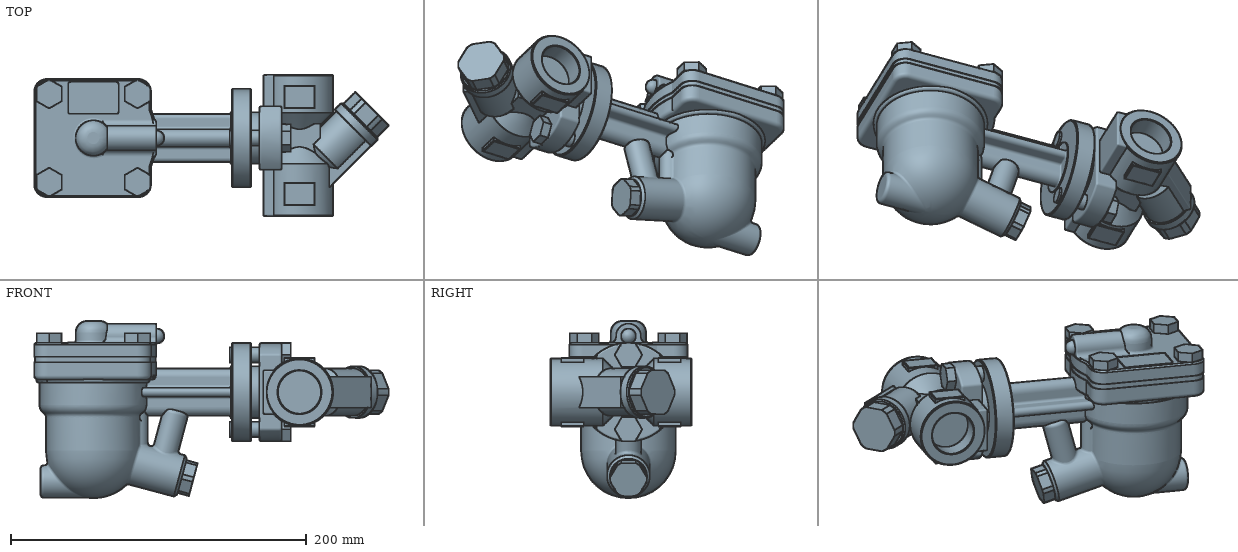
import cadquery as cq
import math


flange_min_x = -40.0
flange_max_x = 39.0
flange_half_y = 40.0
flange_corner_radius = 9.0
flange_bottom = 8.5
lid_joint = 22.0
lid_top = 33.4
joint_step = 0.5
joint_band_below = 2.0
joint_band_above = 1.7
lid_edge_chamfer = 1.2
flange_edge_fillet = 3.0
bulge_half_width = 19.2
bulge_reach = 42.7

lid_bolt_pitch = 59.8
lid_bolt_flats = 17.0
lid_bolt_height = 6.5

plate_length = 34.0
plate_width = 21.5
plate_center_y = 27.0
plate_corner_radius = 1.5
plate_height = 0.5

dome_radius = 12.0
dome_top = 48.2
dome_rounding = 8.0
dome_foot_fillet = 1.7
lid_duct_radius = 8.5
lid_duct_height = 38.0
lid_duct_end = bulge_reach
lid_duct_flare = 4.0
lid_duct_end_fillet = 1.0
nub_radius = 5.0
nub_center_x = 43.0

shoulder_radius = 36.5
shoulder_bottom = -8.6
bowl_radius = 32.2
bowl_top = -17.5
step_radius = 33.5
step_height = -14.2
dome_center = -39.5
neck_fillet = 2.2

drain_radius = 11.0
drain_face_x = -35.8
drain_axis_z = -60.5
drain_fillet = 2.5
drain_foot_fillet = 1.7

rib_radius = 7.2
rib_axis_x = 29.8
rib_bottom = -48.0
rib_top = -4.8

slope = 15.0
boss_radius = 14.52
boss_face_x = 60.0
boss_face_z = -57.0
boss_length = 36.0
boss_chamfer = 2.0
boss_foot_fillet = 2.0
plug_flats = 23.0
plug_corner_diameter = 25.0
plug_height = 8.0
tube_radius = 8.6
tube_from_face = 15.4
tube_length = 42.2
tube_end_fillet = 2.6
tube_foot_fillet = 2.0

pipe_half_height = 16.0
pipe_half_width = 16.3
web_half_width = 6.0
wing_half_height = 3.0
pipe_corner_fillet = 2.0
pad_radius = 17.5
pad_thickness = 0.7
pad_fillet = 1.0
round_flange_start = 93.5
round_flange_end = 106.8
round_flange_radius = 33.4
round_flange_edge = 0.7


clamp_start = 112.3
clamp_end = 127.5
clamp_half_width = 21.5
clamp_edge_fillet = 1.5
clamp_corner_fillet = 2.5
collar_radius = 17.5
clamp_bolt_diameter = 10.5
clamp_bolt_offset = 25.2
clamp_bolt_tip = 92.2
clamp_bolt_flats = 16.0
clamp_bolt_head_end = 133.7

port_axis_x = 139.5
port_radius = 22.8
port_min_y = -53.0
port_max_y = 43.0
port_edge_chamfer = 0.7
port_inner_y = 17.3
neck_radius = 11.8
neck_inner_y = 6.0
neck_overlap = 3.5
neck_end_x = 153.5
bore_diameter = 29.0
bore_chamfer = 0.5
bore_depth = 14.6

block_face_x = 115.0
block_back_x = 124.8
block_half_height = 15.0
block_end_inset = 0.2
block_edge_fillet = 1.2

pad_offset_y = 33.0
pad_length_x = 20.6
pad_length_y = 15.4
pad_half_height = 23.3
pad_chamfer = 0.5

branch_angle = 45.0
branch_foot_x = 168.7
barrel_radius = 16.0
barrel_start = -17.0
barrel_root = -21.5
barrel_root_radius = 11.8
branch_collar_start = 9.8
branch_collar_end = 16.8
branch_collar_radius = 17.5
branch_collar_chamfer = 1.0
branch_plug_end = 28.0
branch_plug_flats = 29.8
branch_plug_corner_diameter = 32.2
gusset_offset = 17.3
gusset_half_height = 10.5
gusset_start = -31.2
gusset_fillet = 0.7


def rod(radius, start, end):
    """Cylinder along X."""
    return cq.Workplane("YZ", origin=(start, 0, 0)).circle(radius).extrude(end - start)


def hex_across(flats):
    """Corner-to-corner size of a hexagon of the given size across flats."""
    return flats / math.cos(math.radians(30))


def hex_rod(flats, start, end):
    """Hexagon bar along X, with corners at +Y and -Y."""
    return cq.Workplane("YZ", origin=(start, 0, 0)).polygon(6, hex_across(flats)).extrude(end - start)


def plug_head(flats, corner_diameter, start, end):
    """Hexagon head along X whose corners are turned down to a round."""
    return hex_rod(flats, start, end).intersect(rod(corner_diameter / 2, start, end))


def flange_slab(bottom, top, inset):
    """Slab of the square flange, with the outwards bulge on its +X side."""
    min_x = flange_min_x + inset
    max_x = flange_max_x - inset
    half_y = flange_half_y - inset
    slab = (
        cq.Workplane("XY", origin=(0, 0, bottom))
        .center((min_x + max_x) / 2, 0)
        .rect(max_x - min_x, 2 * half_y)
        .extrude(top - bottom)
        .edges("|Z")
        .fillet(flange_corner_radius - inset)
    )
    bulge = (
        cq.Workplane("XY", origin=(0, 0, bottom))
        .moveTo(max_x, -bulge_half_width)
        .threePointArc((bulge_reach - inset, 0), (max_x, bulge_half_width))
        .lineTo(0, bulge_half_width)
        .lineTo(0, -bulge_half_width)
        .close()
        .extrude(top - bottom)
    )
    return slab.union(bulge)


def square_flange():
    """Flange of the bowl and lid, with a shallow band around their joint."""
    lower = flange_slab(flange_bottom, lid_joint - joint_band_below, 0)
    lower = lower.faces("<Z").edges().fillet(flange_edge_fillet)
    band = flange_slab(lid_joint - joint_band_below, lid_joint + joint_band_above, joint_step)
    upper = flange_slab(lid_joint + joint_band_above, lid_top, 0)
    upper = upper.faces(">Z").edges().chamfer(lid_edge_chamfer)
    return lower.union(band).union(upper)


def lid_details():
    """Bolt heads, plate, dome and duct on top of the lid."""
    bolts = (
        cq.Workplane("XY", origin=(0, 0, lid_top))
        .rect(lid_bolt_pitch, lid_bolt_pitch, forConstruction=True)
        .vertices()
        .eachpoint(
            lambda place: cq.Workplane("XY")
            .polygon(6, hex_across(lid_bolt_flats))
            .extrude(lid_bolt_height)
            .rotate((0, 0, 0), (0, 0, 1), 90)
            .val()
            .moved(place)
        )
    )
    plate = (
        cq.Workplane("XY", origin=(0, plate_center_y, lid_top))
        .rect(plate_length, plate_width)
        .extrude(plate_height)
        .edges("|Z")
        .fillet(plate_corner_radius)
    )
    dome = (
        cq.Workplane("XZ")
        .moveTo(0, lid_top)
        .lineTo(dome_radius + dome_foot_fillet, lid_top)
        .radiusArc((dome_radius, lid_top + dome_foot_fillet), dome_foot_fillet)
        .lineTo(dome_radius, dome_top - dome_rounding)
        .radiusArc((dome_radius - dome_rounding, dome_top), -dome_rounding)
        .lineTo(0, dome_top)
        .close()
        .revolve(360, (0, 0, 0), (0, 1, 0))
    )
    flare_height = lid_duct_height - lid_top
    flare_bend = lid_duct_flare * (1 - math.sqrt(0.5))
    foot = lid_duct_radius + lid_duct_flare
    duct = (
        cq.Workplane("YZ")
        .moveTo(-foot, lid_top)
        .threePointArc(
            (-lid_duct_radius - flare_bend, lid_top + flare_bend),
            (-lid_duct_radius, lid_top + lid_duct_flare),
        )
        .lineTo(-lid_duct_radius, lid_top + flare_height)
        .threePointArc((0, lid_duct_height + lid_duct_radius), (lid_duct_radius, lid_duct_height))
        .lineTo(lid_duct_radius, lid_top + lid_duct_flare)
        .threePointArc((lid_duct_radius + flare_bend, lid_top + flare_bend), (foot, lid_top))
        .close()
        .extrude(lid_duct_end)
        .faces(">X")
        .edges(">Z")
        .fillet(lid_duct_end_fillet)
    )
    nub = cq.Workplane("XY", origin=(nub_center_x, 0, lid_duct_height)).sphere(nub_radius)
    return bolts.union(plate).union(dome).union(duct).union(nub)


def bowl():
    """Round bowl with a wider shoulder under the flange and a half-sphere bottom."""
    dome_bend = bowl_radius * math.sqrt(0.5)
    return (
        cq.Workplane("XZ")
        .moveTo(0, flange_bottom + neck_fillet)
        .lineTo(shoulder_radius + neck_fillet, flange_bottom + neck_fillet)
        .lineTo(shoulder_radius + neck_fillet, flange_bottom)
        .tangentArcPoint((shoulder_radius, flange_bottom - neck_fillet), relative=False)
        .lineTo(shoulder_radius, shoulder_bottom)
        .tangentArcPoint((step_radius, step_height), relative=False)
        .tangentArcPoint((bowl_radius, bowl_top), relative=False)
        .lineTo(bowl_radius, dome_center)
        .threePointArc((dome_bend, dome_center - dome_bend), (0, dome_center - bowl_radius))
        .close()
        .revolve(360, (0, 0, 0), (0, 1, 0))
    )


def drain_boss():
    boss = rod(drain_radius, drain_face_x, 0).faces("<X").edges().fillet(drain_fillet)
    return boss.translate((0, 0, drain_axis_z))


def rib():
    return (
        cq.Workplane("XY", origin=(rib_axis_x, 0, rib_bottom))
        .circle(rib_radius)
        .extrude(rib_top - rib_bottom)
    )


def strainer_boss():
    """Sloped boss, plug and tube, made level at the origin and then swung into place."""
    boss = rod(boss_radius, -boss_length, 0).faces(">X").edges().chamfer(boss_chamfer)
    plug = plug_head(plug_flats, plug_corner_diameter, 0, plug_height)
    tube = (
        cq.Workplane("XY", origin=(-tube_from_face, 0, 0))
        .circle(tube_radius)
        .extrude(tube_length)
        .faces(">Z")
        .edges()
        .fillet(tube_end_fillet)
    )
    joint = cq.selectors.BoxSelector(
        (-boss_length + 2.5, -boss_radius, 2.5),
        (-boss_chamfer - 0.2, boss_radius, boss_radius + 2.5),
        boundingbox=True,
    )
    boss = boss.union(tube).edges(joint).fillet(tube_foot_fillet)
    strainer = boss.union(plug)
    return strainer.rotate((0, 0, 0), (0, 1, 0), slope).translate((boss_face_x, 0, boss_face_z))


def pipe():
    """Pipe whose section is an upright slot crossed by a thinner level slot."""
    web = cq.Workplane("YZ").slot2D(2 * pipe_half_height, 2 * web_half_width, 90)
    wings = cq.Workplane("YZ").slot2D(2 * pipe_half_width, 2 * wing_half_height)
    web = web.extrude(round_flange_start)
    wings = wings.extrude(round_flange_start)
    section = web.union(wings)
    inner_corners = cq.selectors.BoxSelector(
        (2.5, -web_half_width - 0.2, -wing_half_height - 0.2),
        (round_flange_start, web_half_width + 0.2, wing_half_height + 0.2),
    )
    return section.edges("|X").edges(inner_corners).fillet(pipe_corner_fillet)


def round_flange():
    """Round flange with a low pad around the pipe and two bolt holes."""
    flange = rod(round_flange_radius, round_flange_start, round_flange_end)
    flange = flange.edges().chamfer(round_flange_edge)
    pad = rod(pad_radius, round_flange_start - pad_thickness, round_flange_start)
    flange = flange.union(pad)
    for side in (-1, 1):
        hole = rod(clamp_bolt_diameter / 2, round_flange_start, round_flange_end)
        flange = flange.cut(hole.translate((0, 0, side * clamp_bolt_offset)))
    return flange


def pipe_with_flange():
    """Pipe and round flange, with a fillet where the pipe meets the pad."""
    joined = pipe().union(round_flange())
    around_pipe = cq.selectors.BoxSelector(
        (round_flange_start - pad_thickness - 0.12, -pad_radius + 0.5, -pad_radius + 0.5),
        (round_flange_start - pad_thickness + 0.12, pad_radius - 0.5, pad_radius - 0.5),
        boundingbox=True,
    )
    return joined.edges(around_pipe).fillet(pad_fillet)


def bowl_with_bosses():
    """Bowl with its drain boss, rib and strainer boss, blended where they meet it."""
    drain_joint = cq.selectors.BoxSelector(
        (-bowl_radius, -bowl_radius, dome_center - bowl_radius - 2.5),
        (2.5, bowl_radius, drain_axis_z + drain_radius + 2.5),
        boundingbox=True,
    )
    casting = bowl().union(drain_boss()).edges(drain_joint).fillet(drain_foot_fillet)
    boss_joint = cq.selectors.BoxSelector(
        (bowl_radius / 2, -bowl_radius / 2, dome_center - bowl_radius + 2.5),
        (rib_axis_x + rib_radius + 0.2, bowl_radius / 2, bowl_top + 0.2),
        boundingbox=True,
    )
    casting = casting.union(rib()).union(strainer_boss())
    return casting.edges(boss_joint).fillet(boss_foot_fillet)


def make_trap():
    trap = bowl_with_bosses().union(square_flange()).union(lid_details())
    return trap.union(pipe_with_flange())


def clamp_flange():
    """Round flange with two flat sides, and the collar that meets the trap."""
    disc = rod(round_flange_radius, clamp_start, clamp_end)
    sides = cq.Workplane("XY").box(
        4 * clamp_end, 2 * clamp_half_width, 4 * round_flange_radius
    )
    clamp = disc.intersect(sides).edges("|X").fillet(clamp_corner_fillet)
    clamp = clamp.faces("<X or >X").edges().fillet(clamp_edge_fillet)
    return clamp.union(rod(collar_radius, round_flange_end, clamp_start))


def clamp_bolts():
    """Two bolts that run through the holes of the trap's round flange."""
    shank = rod(clamp_bolt_diameter / 2, clamp_bolt_tip, clamp_end)
    head = hex_rod(clamp_bolt_flats, clamp_end, clamp_bolt_head_end)
    bolt = shank.union(head)
    lower = bolt.translate((0, 0, -clamp_bolt_offset))
    return lower.union(bolt.translate((0, 0, clamp_bolt_offset)))


def ports():
    """The two ports along Y, narrowing to a neck between them."""
    outline = (
        cq.Workplane("XY", origin=(port_axis_x, 0, 0))
        .moveTo(0, port_min_y)
        .lineTo(port_radius - port_edge_chamfer, port_min_y)
        .lineTo(port_radius, port_min_y + port_edge_chamfer)
        .lineTo(port_radius, -port_inner_y)
        .lineTo(neck_radius, -neck_inner_y)
        .lineTo(neck_radius, neck_inner_y)
        .lineTo(port_radius, port_inner_y)
        .lineTo(port_radius, port_max_y - port_edge_chamfer)
        .lineTo(port_radius - port_edge_chamfer, port_max_y)
        .lineTo(0, port_max_y)
        .close()
    )
    return outline.revolve(360, (0, 0, 0), (0, 1, 0))


def neck():
    """Flat-topped neck from the clamp flange to the strainer branch."""
    length = neck_end_x - clamp_end
    solid = cq.Workplane("XY").box(length, 2 * (neck_inner_y + neck_overlap), 2 * neck_radius)
    return solid.translate((clamp_end + length / 2, 0, 0))


def block():
    """Flat-faced block on the -X side of the ports."""
    low = port_min_y + block_end_inset
    high = port_max_y - block_end_inset
    solid = cq.Workplane("XY").box(
        block_back_x - block_face_x, high - low, 2 * block_half_height
    )
    solid = solid.edges("not >X").fillet(block_edge_fillet)
    return solid.translate(((block_back_x + block_face_x) / 2, (low + high) / 2, 0))


def port_pads():
    """Wrench pads above and below both ports."""
    middle = (port_min_y + port_max_y) / 2
    pads = cq.Workplane("XY")
    for side in (-1, 1):
        pad = cq.Workplane("XY").box(pad_length_x, pad_length_y, 2 * pad_half_height)
        pad = pad.faces("<Z or >Z").edges().chamfer(pad_chamfer)
        pads = pads.union(pad.translate((port_axis_x, middle + side * pad_offset_y, 0)))
    return pads


def strainer_branch():
    """Barrel, gusset, collar and plug along X, then turned into the XY diagonal."""
    barrel = rod(barrel_radius, barrel_start, branch_collar_start)
    root = (
        cq.Workplane("YZ", origin=(barrel_root, 0, 0))
        .circle(barrel_root_radius)
        .workplane(offset=barrel_start - barrel_root)
        .circle(barrel_radius)
        .loft()
    )
    gusset = cq.Workplane("XY").box(
        branch_collar_start - gusset_start,
        gusset_offset,
        2 * gusset_half_height,
    )
    gusset = gusset.faces("<Y").edges("|X").fillet(gusset_fillet)
    gusset = gusset.translate(
        ((branch_collar_start + gusset_start) / 2, -gusset_offset / 2, 0)
    )
    collar = rod(branch_collar_radius, branch_collar_start, branch_collar_end)
    collar = collar.faces(">X").edges().chamfer(branch_collar_chamfer)
    plug = plug_head(
        branch_plug_flats, branch_plug_corner_diameter, branch_collar_end, branch_plug_end
    )
    branch = barrel.union(root).union(gusset).union(collar).union(plug)
    return branch.rotate((0, 0, 0), (0, 0, 1), branch_angle).translate((branch_foot_x, 0, 0))


def port_bore(mouth_y, inward):
    """Blind bore with a chamfered mouth, going from mouth_y in the inward direction along Y."""
    radius = bore_diameter / 2
    return (
        cq.Workplane("XY", origin=(port_axis_x, mouth_y, 0))
        .lineTo(radius + bore_chamfer, 0)
        .lineTo(radius, inward * bore_chamfer)
        .lineTo(radius, inward * bore_depth)
        .lineTo(0, inward * bore_depth)
        .close()
        .revolve(360, (0, 0, 0), (0, 1, 0))
    )


def make_connector():
    connector = clamp_flange().union(clamp_bolts())
    connector = connector.union(ports()).union(neck()).union(block()).union(port_pads())
    connector = connector.union(strainer_branch())
    return connector.cut(port_bore(port_min_y, 1)).cut(port_bore(port_max_y, -1))


trap = make_trap()
connector = make_connector()

result = cq.Compound.makeCompound([trap.val(), connector.val()])